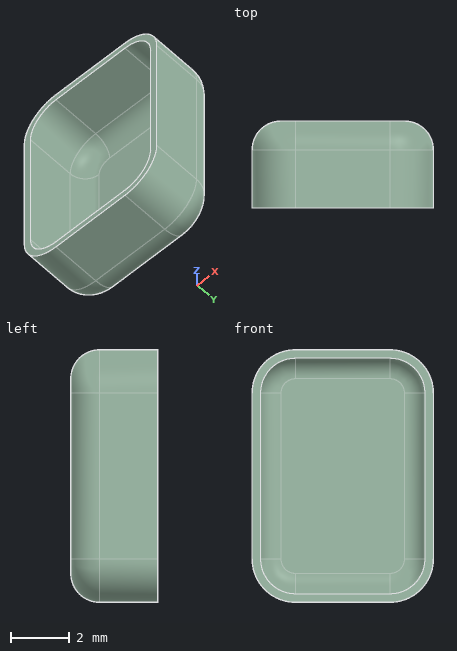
import cadquery as cq

width = 6.25
depth = 3.0
height = 8.7
wall = 0.3
corner_radius = 1.5
floor_radius = 1.0


def rounded_block(inset):
    """Block with rounded corners and floor edge, inset from the outer skin but flush with the mouth."""
    block = cq.Workplane("XY").box(
        width - 2 * inset,
        depth - inset,
        height - 2 * inset,
        centered=(True, False, True),
    )
    block = block.edges("|Y").fillet(corner_radius - inset)
    return block.faces(">Y").edges().fillet(floor_radius - inset)


outer_body = rounded_block(0)
cavity = rounded_block(wall)

result = outer_body.cut(cavity)